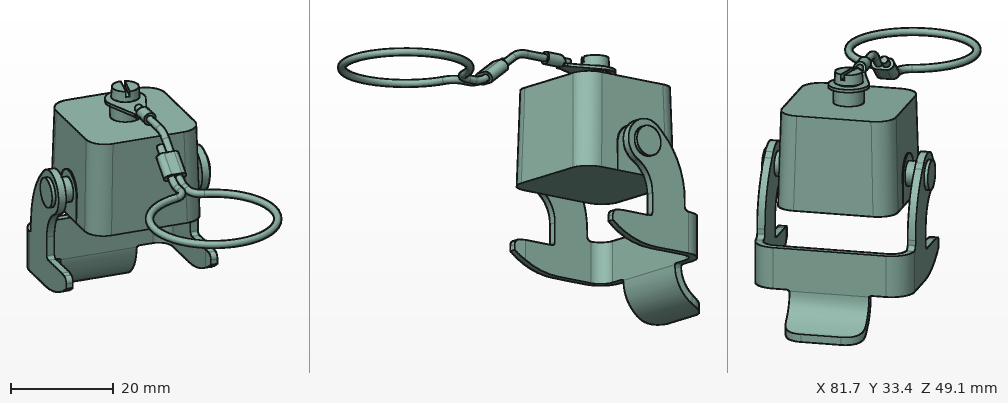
import math

import cadquery as cq

HOOD_LENGTH = 24.2
HOOD_WIDTH = 24.0
HOOD_HEIGHT = 19.2
HOOD_CORNER_RADIUS = 4.0
HOOD_DRAFT = math.radians(1.5)

PIN_HEIGHT = 5.65
PIN_DIAMETER = 5.0
PIN_HEAD_DIAMETER = 6.0
PIN_SPAN = 33.4
PAD_RADIUS = 4.0
PAD_HALF_SPAN = HOOD_WIDTH / 2

SHEET = 1.6
LEVER_HALF_SPAN = 15.95
EYE_RADIUS = 4.5
EYE_LEAVE_ANGLE = 133.0
BACK_FLAT_LENGTH = 1.4
ARM_BACK_X = -9.6
ARM_BACK_ARC_END_Z = -4.9
ARM_FRONT_X = -1.5
ARM_FRONT_RADIUS = 7.0
STRAP_BACK_X = -15.08
STRAP_TOP_Z = -6.85
STRAP_BOTTOM_Z = -15.2
STRAP_BEND_RADIUS = 4.6
STRAP_NOTCH_RADIUS = 0.95
HOOK_TIP_X = 8.4
HOOK_TOP_Z = -9.1
HOOK_TIP_LOW_Z = -11.5
HOOK_BELLY_START_X = -2.3
HOOK_TIP_RADIUS = 1.2
HOOK_ROOT_RADIUS = 0.7
HOOK_LEAD_START_X = 5.95
HOOK_LEAD_DEPTH = 0.2
HOOK_TIP_DROP = 0.18

TAB_WIDTH = 16.0
TAB_BEND_RADIUS = 8.2
TAB_BOTTOM_Z = -23.59
TAB_CORNER_RADIUS = 4.0
TAB_ROOT_RADIUS = 0.6

POST_DIAMETER = 6.0
TAG_BOTTOM_Z = 22.35
TAG_THICKNESS = 0.6
TAG_RADIUS = 4.0
NECK_DIAMETER = 4.1
HEAD_DIAMETER = 5.6
HEAD_BOTTOM_Z = 23.35
HEAD_TOP_Z = 25.5
HEAD_DRAFT_DEGREES = 4.0
SLOT_WIDTH = 0.8
SLOT_DEPTH = 1.1
SLOT_ANGLE = -12.0

CORD_DIAMETER = 1.5
CORD_START_X = 6.6
CORD_TOP_Z = 23.55
CORD_LOW_Z = 16.28
CORD_SLOPE = math.radians(38.0)
CORD_BEND_RADIUS = 5.0
CORD_UPPER_BEND_X = 19.15
CORD_SPACING = 1.56
CORD_TAIL_X = 21.5
FORK_X = 31.8
LOOP_RADIUS = 12.5
LOOP_CENTER_X = 46.74

SLEEVE_DIAMETER = 2.5
SLEEVE_START_X = 9.15
SLEEVE_END_X = 12.5
TAG_FOLD_X = 7.9
TAG_END_X = 8.6
DOUBLE_SLEEVE_LENGTH = 5.0
DOUBLE_SLEEVE_PITCH = 2.1
DOUBLE_SLEEVE_X = 25.2


def polar(center, radius, degrees):
    angle = math.radians(degrees)
    return (center[0] + radius * math.cos(angle), center[1] + radius * math.sin(angle))


def cylinder_up(diameter, bottom, top, draft_degrees=0):
    base = cq.Workplane("XY", origin=(0, 0, bottom)).circle(diameter / 2)
    return base.extrude(top - bottom, taper=draft_degrees)


def cylinder_across(diameter, half_length):
    return (
        cq.Workplane("XZ", origin=(0, 0, PIN_HEIGHT))
        .circle(diameter / 2)
        .extrude(half_length, both=True)
    )


def make_hood():
    shrink = 2 * HOOD_HEIGHT * math.tan(HOOD_DRAFT)
    foot = cq.Sketch().rect(HOOD_LENGTH, HOOD_WIDTH).vertices().fillet(HOOD_CORNER_RADIUS)
    top = (
        cq.Sketch()
        .rect(HOOD_LENGTH - shrink, HOOD_WIDTH - shrink)
        .vertices()
        .fillet(HOOD_CORNER_RADIUS)
    )
    block = (
        cq.Workplane("XY")
        .placeSketch(foot, top.moved(cq.Location(cq.Vector(0, 0, HOOD_HEIGHT))))
        .loft(ruled=True)
    )
    pad = (
        cq.Workplane("XZ")
        .moveTo(-PAD_RADIUS, 0)
        .lineTo(-PAD_RADIUS, PIN_HEIGHT)
        .threePointArc((0, PIN_HEIGHT + PAD_RADIUS), (PAD_RADIUS, PIN_HEIGHT))
        .lineTo(PAD_RADIUS, 0)
        .close()
        .extrude(PAD_HALF_SPAN, both=True)
    )
    return block.union(pad)


def make_pins():
    shank = cylinder_across(PIN_DIAMETER, LEVER_HALF_SPAN)
    heads = cylinder_across(PIN_HEAD_DIAMETER, PIN_SPAN / 2)
    gap = cylinder_across(PIN_HEAD_DIAMETER, LEVER_HALF_SPAN)
    return shank.union(heads.cut(gap))


def make_arms():
    eye = (0, PIN_HEIGHT)
    front_center_x = ARM_FRONT_X + ARM_FRONT_RADIUS
    center_distance = EYE_RADIUS + ARM_FRONT_RADIUS
    front_center_z = PIN_HEIGHT - math.sqrt(center_distance**2 - front_center_x**2)
    touch_angle = math.degrees(math.atan2(front_center_z - PIN_HEIGHT, front_center_x))
    front_center = (front_center_x, front_center_z)
    touch_point = polar(eye, EYE_RADIUS, touch_angle)
    front_middle = polar(front_center, ARM_FRONT_RADIUS, 180 + touch_angle / 2)

    eye_leave = polar(eye, EYE_RADIUS, EYE_LEAVE_ANGLE)
    eye_middle = polar(eye, EYE_RADIUS, (touch_angle + EYE_LEAVE_ANGLE) / 2)
    flat_end = polar(eye_leave, BACK_FLAT_LENGTH, EYE_LEAVE_ANGLE + 90)

    belly_run = HOOK_TIP_X - HOOK_BELLY_START_X
    belly_rise = HOOK_TIP_LOW_Z - STRAP_BOTTOM_Z
    belly_radius = (belly_run**2 + belly_rise**2) / (2 * belly_rise)
    belly_center = (HOOK_BELLY_START_X, STRAP_BOTTOM_Z + belly_radius)
    belly_sweep = math.degrees(math.asin(belly_run / belly_radius))
    belly_middle = polar(belly_center, belly_radius, belly_sweep / 2 - 90)

    notch_center = (ARM_BACK_X - STRAP_NOTCH_RADIUS, STRAP_TOP_Z + STRAP_NOTCH_RADIUS)
    bend_end_x = STRAP_BACK_X + STRAP_BEND_RADIUS

    profile = (
        cq.Workplane("XZ", origin=(0, LEVER_HALF_SPAN, 0))
        .moveTo(*touch_point)
        .threePointArc(eye_middle, eye_leave)
        .lineTo(*flat_end)
        .tangentArcPoint((ARM_BACK_X, ARM_BACK_ARC_END_Z), relative=False)
        .lineTo(ARM_BACK_X, notch_center[1])
        .threePointArc(polar(notch_center, STRAP_NOTCH_RADIUS, -45), (notch_center[0], STRAP_TOP_Z))
        .lineTo(bend_end_x, STRAP_TOP_Z)
        .lineTo(bend_end_x, STRAP_BOTTOM_Z)
        .lineTo(HOOK_BELLY_START_X, STRAP_BOTTOM_Z)
        .threePointArc(belly_middle, (HOOK_TIP_X, HOOK_TIP_LOW_Z))
        .lineTo(HOOK_TIP_X, HOOK_TOP_Z - HOOK_TIP_DROP)
        .lineTo(HOOK_LEAD_START_X, HOOK_TOP_Z)
        .lineTo(ARM_FRONT_X, HOOK_TOP_Z)
        .lineTo(ARM_FRONT_X, front_center_z)
        .threePointArc(front_middle, touch_point)
        .close()
    )
    inner_y = LEVER_HALF_SPAN - SHEET
    middle_y = LEVER_HALF_SPAN - SHEET / 2
    nearest = cq.selectors.NearestToPointSelector
    arm = (
        profile.extrude(SHEET)
        .edges(nearest((HOOK_TIP_X, middle_y, HOOK_TOP_Z - HOOK_TIP_DROP)))
        .fillet(HOOK_TIP_RADIUS)
        .edges(nearest((ARM_FRONT_X, middle_y, HOOK_TOP_Z)))
        .fillet(HOOK_ROOT_RADIUS)
    )
    lead_in = (
        cq.Workplane("XY", origin=(0, 0, STRAP_BOTTOM_Z))
        .moveTo(HOOK_LEAD_START_X, inner_y)
        .lineTo(HOOK_TIP_X, inner_y)
        .lineTo(HOOK_TIP_X, inner_y + HOOK_LEAD_DEPTH)
        .close()
        .extrude(HOOK_TOP_Z - STRAP_BOTTOM_Z)
    )
    arm = arm.cut(lead_in)
    return arm.union(arm.mirror("XZ"))


def make_strap():
    depth = 4 * STRAP_BEND_RADIUS
    height = STRAP_TOP_Z - STRAP_BOTTOM_Z

    def rounded_block(inset):
        return (
            cq.Workplane("XY", origin=(STRAP_BACK_X + inset, 0, STRAP_BOTTOM_Z))
            .rect(depth, 2 * (LEVER_HALF_SPAN - inset))
            .extrude(height)
            .translate((depth / 2, 0, 0))
            .edges("|Z")
            .fillet(STRAP_BEND_RADIUS - inset)
        )

    keep = (
        cq.Workplane("XY", origin=(STRAP_BACK_X + STRAP_BEND_RADIUS / 2, 0, STRAP_BOTTOM_Z))
        .rect(STRAP_BEND_RADIUS, 2 * LEVER_HALF_SPAN)
        .extrude(height)
    )
    return rounded_block(0).cut(rounded_block(SHEET)).intersect(keep)


def make_tab():
    front_x = STRAP_BACK_X + SHEET
    center = (front_x - TAB_BEND_RADIUS, TAB_BOTTOM_Z + TAB_BEND_RADIUS)
    inner_radius = TAB_BEND_RADIUS - SHEET
    curl = (
        cq.Workplane("XZ")
        .moveTo(front_x, STRAP_BOTTOM_Z)
        .lineTo(front_x, center[1])
        .threePointArc(polar(center, TAB_BEND_RADIUS, -45), (center[0], TAB_BOTTOM_Z))
        .lineTo(center[0], TAB_BOTTOM_Z + SHEET)
        .threePointArc(polar(center, inner_radius, -45), (STRAP_BACK_X, center[1]))
        .lineTo(STRAP_BACK_X, STRAP_BOTTOM_Z)
        .close()
        .extrude(TAB_WIDTH / 2, both=True)
    )
    outline = (
        cq.Workplane("XY", origin=(front_x - TAB_BEND_RADIUS / 2, 0, TAB_BOTTOM_Z))
        .rect(TAB_BEND_RADIUS, TAB_WIDTH)
        .extrude(STRAP_BOTTOM_Z - TAB_BOTTOM_Z)
        .edges("|Z and <X")
        .fillet(TAB_CORNER_RADIUS)
    )
    return curl.intersect(outline)


def make_tab_roots():
    """Concave fillets where the sides of the tab meet the strap."""
    root = (
        cq.Workplane("YZ", origin=(STRAP_BACK_X, TAB_WIDTH / 2, STRAP_BOTTOM_Z))
        .moveTo(0, 0)
        .lineTo(TAB_ROOT_RADIUS, 0)
        .radiusArc((0, -TAB_ROOT_RADIUS), -TAB_ROOT_RADIUS)
        .close()
        .extrude(SHEET)
    )
    return root.union(root.mirror("XZ"))


def make_screw():
    post = cylinder_up(POST_DIAMETER, HOOD_HEIGHT, TAG_BOTTOM_Z)
    neck = cylinder_up(NECK_DIAMETER, TAG_BOTTOM_Z, HEAD_BOTTOM_Z)
    head = cylinder_up(HEAD_DIAMETER, HEAD_BOTTOM_Z, HEAD_TOP_Z, HEAD_DRAFT_DEGREES)
    slot = (
        cq.Workplane("XY")
        .box(2 * HEAD_DIAMETER, SLOT_WIDTH, SLOT_DEPTH, centered=(True, True, False))
        .rotate((0, 0, 0), (0, 0, 1), SLOT_ANGLE)
        .translate((0, 0, HEAD_TOP_Z - SLOT_DEPTH))
    )
    return post.union(neck).union(head.cut(slot))


def make_tag():
    """Drop-shaped tag under the screw head, folded into the cord sleeve."""
    half_width = SLEEVE_DIAMETER / 2
    reach = math.hypot(TAG_FOLD_X, half_width)
    tangent_angle = math.degrees(math.atan2(half_width, TAG_FOLD_X) + math.acos(TAG_RADIUS / reach))
    upper_x, upper_y = polar((0, 0), TAG_RADIUS, tangent_angle)
    plate = (
        cq.Workplane("XY", origin=(0, 0, TAG_BOTTOM_Z))
        .moveTo(upper_x, upper_y)
        .threePointArc((-TAG_RADIUS, 0), (upper_x, -upper_y))
        .lineTo(TAG_FOLD_X, -half_width)
        .lineTo(TAG_END_X, -half_width)
        .lineTo(TAG_END_X, half_width)
        .lineTo(TAG_FOLD_X, half_width)
        .close()
        .extrude(TAG_THICKNESS)
    )
    sleeve_top = CORD_TOP_Z + half_width
    wedge = (
        cq.Workplane("XZ")
        .moveTo(TAG_FOLD_X, TAG_BOTTOM_Z)
        .lineTo(SLEEVE_START_X, TAG_BOTTOM_Z)
        .lineTo(SLEEVE_START_X, sleeve_top)
        .close()
        .extrude(SLEEVE_DIAMETER, both=True)
    )
    fold = make_sleeve(TAG_FOLD_X, SLEEVE_START_X).intersect(wedge)
    return plate.union(fold)


def make_sleeve(start_x, end_x):
    return (
        cq.Workplane("YZ", origin=(start_x, 0, CORD_TOP_Z))
        .circle(SLEEVE_DIAMETER / 2)
        .extrude(end_x - start_x)
    )


def slope_z(x):
    """Height of the sloping cord stretch at x."""
    return CORD_TOP_Z - (x - CORD_UPPER_BEND_X) * math.tan(CORD_SLOPE)


def make_cord():
    """One cord: down from the tag, round the loop and back into the double sleeve."""
    bend_tangent = CORD_BEND_RADIUS * math.tan(CORD_SLOPE / 2)
    bend_dx = bend_tangent * math.cos(CORD_SLOPE)
    lower_bend_x = CORD_UPPER_BEND_X + (CORD_TOP_Z - CORD_LOW_Z) / math.tan(CORD_SLOPE)
    slope_start_x = CORD_UPPER_BEND_X + bend_dx
    slope_end_x = lower_bend_x - bend_dx
    loop_y = -CORD_SPACING / 2
    tail_y = -CORD_SPACING

    fork_run = LOOP_CENTER_X - FORK_X
    half_spacing = CORD_SPACING / 2
    fork_radius = (fork_run**2 + half_spacing**2 - LOOP_RADIUS**2) / (2 * (LOOP_RADIUS - half_spacing))
    join_share = LOOP_RADIUS / (LOOP_RADIUS + fork_radius)
    join_x = LOOP_CENTER_X - fork_run * join_share
    join_offset = (half_spacing + fork_radius) * join_share

    def low_point(x, y):
        return cq.Vector(x, y, CORD_LOW_Z)

    start = cq.Vector(CORD_START_X, 0, CORD_TOP_Z)
    upper_bend = cq.Vector(CORD_UPPER_BEND_X - bend_tangent, 0, CORD_TOP_Z)
    slope_start = cq.Vector(slope_start_x, 0, slope_z(slope_start_x))
    slope_end = cq.Vector(slope_end_x, 0, slope_z(slope_end_x))
    lower_bend = low_point(lower_bend_x + bend_tangent, 0)
    fork = low_point(FORK_X, 0)
    join = low_point(join_x, loop_y + join_offset)
    loop_far = low_point(LOOP_CENTER_X + LOOP_RADIUS, loop_y)
    join_back = low_point(join_x, loop_y - join_offset)
    fork_back = low_point(FORK_X, tail_y)
    lower_bend_back = low_point(lower_bend.x, tail_y)
    slope_end_back = cq.Vector(slope_end_x, tail_y, slope_z(slope_end_x))
    tail = cq.Vector(CORD_TAIL_X, tail_y, slope_z(CORD_TAIL_X))

    along = cq.Vector(1, 0, 0)
    downhill = cq.Vector(math.cos(CORD_SLOPE), 0, -math.sin(CORD_SLOPE))
    line = cq.Edge.makeLine
    bend = cq.Edge.makeTangentArc
    path = cq.Wire.assembleEdges(
        [
            line(start, upper_bend),
            bend(upper_bend, along, slope_start),
            line(slope_start, slope_end),
            bend(slope_end, downhill, lower_bend),
            line(lower_bend, fork),
            bend(fork, along, join),
            cq.Edge.makeThreePointArc(join, loop_far, join_back),
            bend(fork_back, along, join_back),
            line(fork_back, lower_bend_back),
            bend(lower_bend_back, along * -1, slope_end_back),
            line(slope_end_back, tail),
        ]
    )
    return (
        cq.Workplane("YZ", origin=start.toTuple())
        .circle(CORD_DIAMETER / 2)
        .sweep(cq.Workplane(path), transition="round")
    )


def make_double_sleeve():
    """Flattened sleeve round both strands on the sloping stretch."""
    plane = cq.Plane(
        origin=(DOUBLE_SLEEVE_X, -CORD_SPACING / 2, slope_z(DOUBLE_SLEEVE_X)),
        xDir=(0, 1, 0),
        normal=(math.cos(CORD_SLOPE), 0, -math.sin(CORD_SLOPE)),
    )
    return (
        cq.Workplane(plane)
        .slot2D(DOUBLE_SLEEVE_PITCH + SLEEVE_DIAMETER, SLEEVE_DIAMETER)
        .extrude(DOUBLE_SLEEVE_LENGTH / 2, both=True)
    )


result = (
    make_hood()
    .union(make_pins())
    .union(make_arms())
    .union(make_strap())
    .union(make_tab())
    .union(make_tab_roots())
    .union(make_screw())
    .union(make_tag())
    .union(make_sleeve(SLEEVE_START_X, SLEEVE_END_X))
    .union(make_cord().union(make_double_sleeve()))
)